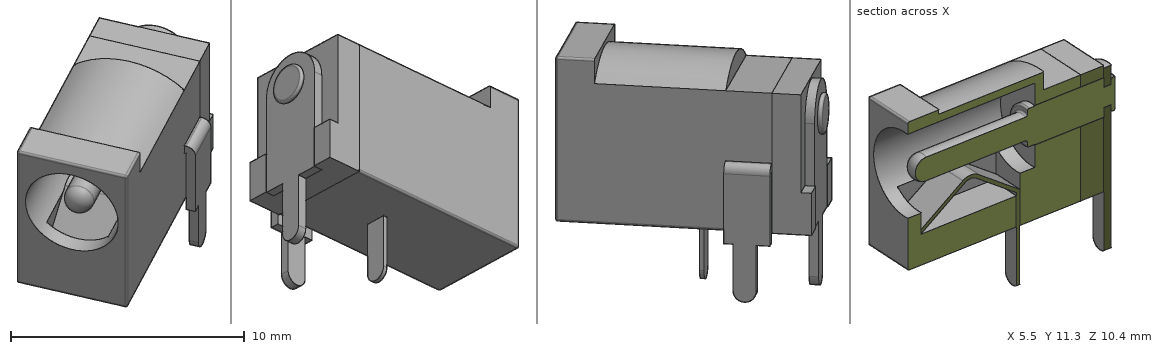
import cadquery as cq
import math


BODY_WIDTH = 5.0
HALF_WIDTH = BODY_WIDTH / 2
BODY_TOP = 6.3
MOUTH_TOP = 7.4
MOUTH_DEPTH = 1.7
BARREL_TOP = 7.2
BARREL_END = 7.4
HOUSING_LENGTH = 9.4
EDGE_FILLET = 0.1
AXIS_Z = 4.7
BORE_DIAMETER = 4.2
BORE_DEPTH = 6.9

SHEET = 0.42
LEG_WIDTH = 1.0
LEG_BOTTOM = -3.0
HALF_LEG = LEG_WIDTH / 2

CAP_BACK = 10.66
LEDGE_BACK = 11.12
LEDGE_TOP = 1.9

PLATE_WIDTH = 3.0
PLATE_BACK = CAP_BACK + SHEET

TIP_DIAMETER = 1.3
TIP_CENTRE_Y = 1.0
COLLAR_DIAMETER = 2.0
COLLAR_FRONT = 6.5
PIN_FILLET = 0.1
STEM_DIAMETER = 1.1
RIVET_DIAMETER = 1.8
OVERALL_LENGTH = 11.3

TERMINAL_OUTER_X = 3.0
TERMINAL_INNER_X = TERMINAL_OUTER_X - SHEET
TERMINAL_ROOT_X = 1.5
TERMINAL_TOP = 3.15
TERMINAL_FRONT = BARREL_END
TERMINAL_LEG_Y = 8.3

SPRING_SHEET = 0.2
SPRING_FRONT = 0.75
SPRING_BACK = 6.1
SPRING_SLOPE = math.radians(35)
SPRING_CREST_Z = 3.52
SPRING_CREST_WIDTH = 2.7
CREST_RADIUS = 0.75
POCKET_WIDTH = 2.8
CREST_Y = (SPRING_FRONT + SPRING_BACK) / 2
APEX_Z = SPRING_CREST_Z + CREST_RADIUS * (1 / math.cos(SPRING_SLOPE) - 1)
FOOT_TOP = APEX_Z - (CREST_Y - SPRING_FRONT) * math.tan(SPRING_SLOPE)
SPRING_DROP = SPRING_SHEET / math.cos(SPRING_SLOPE)
POCKET_FLOOR = FOOT_TOP - SPRING_DROP


def block(x_range, y_range, z_range):
    """Box between two limits on each axis."""
    (x0, x1), (y0, y1), (z0, z1) = x_range, y_range, z_range
    return cq.Workplane("XY").box(x1 - x0, y1 - y0, z1 - z0, centered=False).translate((x0, y0, z0))


def centred_block(width, y_range, z_range):
    """Box symmetric about X = 0."""
    return block((-width / 2, width / 2), y_range, z_range)


def rod(diameter, y_start, y_end):
    """Cylinder along the plug axis."""
    plane = cq.Workplane("XZ", origin=(0, y_start, AXIS_Z))
    return plane.circle(diameter / 2).extrude(y_start - y_end)


def round_leg_profile(plane, centre, top):
    """Upright leg outline with a semicircular bottom end, on a plane whose second axis is Z."""
    round_z = LEG_BOTTOM + HALF_LEG
    return (
        plane.moveTo(centre - HALF_LEG, top)
        .lineTo(centre - HALF_LEG, round_z)
        .threePointArc((centre, LEG_BOTTOM), (centre + HALF_LEG, round_z))
        .lineTo(centre + HALF_LEG, top)
        .close()
    )


def leg_across(y_front, y_back, top):
    """Leg whose sheet faces along Y."""
    plane = cq.Workplane("XZ", origin=(0, y_front, 0))
    return round_leg_profile(plane, 0, top).extrude(y_front - y_back)


def make_spring():
    """Roof-shaped leaf that tapers towards its crest, with a solder leg at the back end."""
    leaf = (
        cq.Workplane("YZ", origin=(-POCKET_WIDTH / 2, 0, 0))
        .moveTo(SPRING_FRONT, FOOT_TOP)
        .lineTo(CREST_Y, APEX_Z)
        .lineTo(SPRING_BACK, FOOT_TOP)
        .lineTo(SPRING_BACK, POCKET_FLOOR)
        .lineTo(CREST_Y, APEX_Z - SPRING_DROP)
        .lineTo(SPRING_FRONT, POCKET_FLOOR)
        .close()
        .extrude(POCKET_WIDTH)
    )
    crest_bends = [(APEX_Z, CREST_RADIUS), (APEX_Z - SPRING_DROP, CREST_RADIUS - SPRING_SHEET)]
    for corner_z, radius in crest_bends:
        corner = cq.selectors.NearestToPointSelector((0, CREST_Y, corner_z))
        leaf = leaf.edges(corner).fillet(radius)
    half_foot = POCKET_WIDTH / 2
    half_crest = SPRING_CREST_WIDTH / 2
    plan = (
        cq.Workplane("XY")
        .polyline([
            (-half_foot, SPRING_FRONT),
            (half_foot, SPRING_FRONT),
            (half_crest, CREST_Y),
            (half_crest, SPRING_BACK),
            (-half_crest, SPRING_BACK),
            (-half_crest, CREST_Y),
        ])
        .close()
        .extrude(APEX_Z)
    )
    return leaf.intersect(plan).union(leg_across(SPRING_BACK - SPRING_SHEET, SPRING_BACK, FOOT_TOP))


def make_side_terminal():
    """Bent strip leaving the side of the housing, with one solder leg."""
    y_range = (TERMINAL_FRONT, HOUSING_LENGTH)
    strip = block((TERMINAL_ROOT_X, TERMINAL_OUTER_X), y_range, (TERMINAL_TOP - SHEET, TERMINAL_TOP))
    strip = strip.union(block((TERMINAL_INNER_X, TERMINAL_OUTER_X), y_range, (-SHEET, TERMINAL_TOP)))
    strip = strip.edges("|Y and >X and >Z").fillet(SHEET)
    plane = cq.Workplane("YZ", origin=(TERMINAL_INNER_X, 0, 0))
    return strip.union(round_leg_profile(plane, TERMINAL_LEG_Y, 0).extrude(SHEET))


def make_rear_plate():
    """Round-topped plate on the back of the cap, held by the riveted pin."""
    half_plate = PLATE_WIDTH / 2
    plate = (
        cq.Workplane("XZ", origin=(0, CAP_BACK, 0))
        .moveTo(-half_plate, 0)
        .lineTo(-half_plate, AXIS_Z)
        .threePointArc((0, AXIS_Z + half_plate), (half_plate, AXIS_Z))
        .lineTo(half_plate, 0)
        .close()
        .extrude(-SHEET)
    )
    plate = plate.union(leg_across(CAP_BACK, PLATE_BACK, LEDGE_TOP))
    return plate.cut(rod(STEM_DIAMETER, CAP_BACK, PLATE_BACK))


def make_centre_pin():
    """Turned contact with a round tip, a collar, a stem through the plate and a rivet head."""
    tip = TIP_DIAMETER / 2
    collar = COLLAR_DIAMETER / 2
    stem = STEM_DIAMETER / 2
    rivet = RIVET_DIAMETER / 2
    rim = (OVERALL_LENGTH - PLATE_BACK) / 2
    diagonal = math.sqrt(0.5)
    inset = PIN_FILLET * (1 - diagonal)
    profile = (
        cq.Workplane("XY", origin=(0, 0, AXIS_Z))
        .moveTo(0, TIP_CENTRE_Y - tip)
        .threePointArc((tip * diagonal, TIP_CENTRE_Y - tip * diagonal), (tip, TIP_CENTRE_Y))
        .lineTo(tip, COLLAR_FRONT - PIN_FILLET)
        .threePointArc((tip + inset, COLLAR_FRONT - inset), (tip + PIN_FILLET, COLLAR_FRONT))
        .lineTo(collar - PIN_FILLET, COLLAR_FRONT)
        .threePointArc((collar - inset, COLLAR_FRONT + inset), (collar, COLLAR_FRONT + PIN_FILLET))
        .lineTo(collar, CAP_BACK)
        .lineTo(stem, CAP_BACK)
        .lineTo(stem, PLATE_BACK)
        .lineTo(rivet - rim, PLATE_BACK)
        .threePointArc((rivet, PLATE_BACK + rim), (rivet - rim, OVERALL_LENGTH))
        .lineTo(0, OVERALL_LENGTH)
        .close()
    )
    return profile.revolve(360, (0, 0, 0), (0, 1, 0))


def make_arched_roof():
    """Shallow arch over the full width, between the mouth block and the end of the barrel."""
    return (
        cq.Workplane("XZ", origin=(0, MOUTH_DEPTH, 0))
        .moveTo(-HALF_WIDTH, BODY_TOP)
        .threePointArc((0, BARREL_TOP), (HALF_WIDTH, BODY_TOP))
        .close()
        .extrude(MOUTH_DEPTH - BARREL_END)
    )


def make_housing(pin, spring, terminal):
    """Box with a mouth block, an arched roof, the plug bore and seats for the contacts."""
    mouth = centred_block(BODY_WIDTH, (0, MOUTH_DEPTH), (0, MOUTH_TOP))
    body = centred_block(BODY_WIDTH, (0, HOUSING_LENGTH), (0, BODY_TOP)).union(mouth)
    long_edges = body.edges("|Y and <Z").add(body.edges("|Y and >Z"))
    body = long_edges.add(body.faces("<Y").edges()).fillet(EDGE_FILLET)
    body = body.union(make_arched_roof())
    body = body.cut(rod(BORE_DIAMETER, 0, BORE_DEPTH))
    body = body.cut(centred_block(POCKET_WIDTH, (SPRING_FRONT, SPRING_BACK), (POCKET_FLOOR, AXIS_Z)))
    for contact in (pin, spring, terminal):
        body = body.cut(contact)
    return body


def make_cap(pin):
    """Rear closure with a slotted ledge that holds the plate and a hole for the pin collar."""
    cap = centred_block(BODY_WIDTH, (HOUSING_LENGTH, CAP_BACK), (0, BODY_TOP))
    ledge = centred_block(BODY_WIDTH, (HOUSING_LENGTH, LEDGE_BACK), (0, LEDGE_TOP))
    plate_slot = centred_block(PLATE_WIDTH, (CAP_BACK, LEDGE_BACK), (0, LEDGE_TOP))
    return cap.union(ledge).cut(plate_slot).cut(pin)


centre_pin = make_centre_pin()
contact_spring = make_spring()
side_terminal = make_side_terminal()
rear_plate = make_rear_plate()
rear_cap = make_cap(centre_pin)
housing = make_housing(centre_pin, contact_spring, side_terminal)

result = cq.Compound.makeCompound([
    housing.val(),
    rear_cap.val(),
    rear_plate.val(),
    centre_pin.val(),
    contact_spring.val(),
    side_terminal.val(),
])